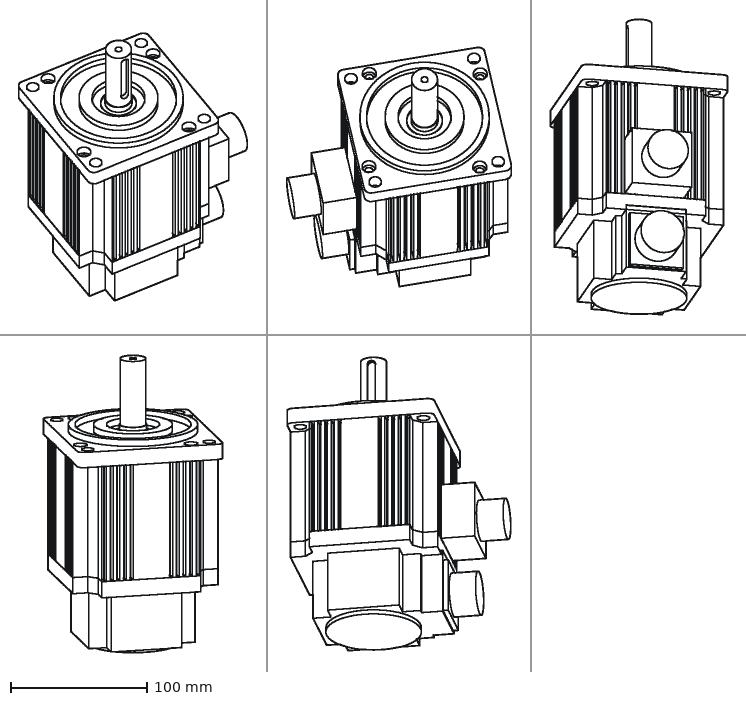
import cadquery as cq


cap_disc_top = 3.2
encoder_top = 48.4
bracket_top = 60.5
stator_top = 147.7
flange_top = 159.2
pilot_top = 164.1
shaft_top = 214.0

body_width = 110.0
half_width = body_width / 2
flange_corner_radius = 5.0
pilot_diameter = 95.0
recess_diameter = 85.2
boss_diameter = 58.0
boss_bore_diameter = 39.0
shaft_clearance_diameter = 26.1
recess_floor_thickness = 1.3
rotor_bore_diameter = pilot_diameter
mount_hole_diameter = 9.0
mount_hole_pitch = 92.0
screw_near_offset = 31.9
screw_far_offset = 48.0
screw_hole_diameter = 6.0
screw_head_diameter = 10.0
screw_head_depth = 6.0

shaft_diameter = 19.0
collar_diameter = 20.0
key_width = 6.2
key_length = 39.5
key_depth = 3.5
key_end_gap = 2.5
center_hole_diameter = 5.0
center_hole_depth = 12.0
drill_tip_height = 1.5

corner_notch = 17.5
notch_chamfer = 6.5
groove_width = 2.1
groove_depth = 7.0
first_groove_offset = 15.0
last_groove_offset = 35.0
grooves_per_half_side = 5
groove_pitch = (last_groove_offset - first_groove_offset) / (grooves_per_half_side - 1)

encoder_width = 80.5
encoder_notch = 13.5
cap_disc_diameter = 70.2
port_width = 45.0
port_face = 55.9
port_lip_top = 51.5

power_connector_x = 1.3
power_box_width = 44.7
power_box_height = 42.5
power_box_face = 80.0
power_plug_diameter = 30.4
power_plug_z = 81.5
power_plug_end = 100.0
encoder_connector_x = 0.6
encoder_plate_size = 40.0
encoder_plate_face = 59.7
encoder_plug_diameter = 32.5
encoder_plug_z = 24.5
encoder_plug_end = 79.5


def cylinder(diameter, bottom, top):
    """Round bar on the motor axis between two levels."""
    return cq.Workplane("XY").workplane(offset=bottom).circle(diameter / 2).extrude(top - bottom)


def y_cylinder(diameter, x, z, start, end):
    """Round bar along +Y between two Y positions."""
    plane = cq.Plane(origin=(x, start, z), xDir=(1, 0, 0), normal=(0, 1, 0))
    return cq.Workplane(plane).circle(diameter / 2).extrude(end - start)


def block(x_range, y_range, z_range):
    """Box given by its limits along each axis."""
    (x0, x1), (y0, y1), (z0, z1) = x_range, y_range, z_range
    return cq.Workplane("XY").box(x1 - x0, y1 - y0, z1 - z0, centered=False).translate((x0, y0, z0))


def make_shaft():
    """Keyed shaft with a wider collar at its lower end and a drilled centre hole."""
    shaft = cylinder(shaft_diameter, pilot_top, shaft_top)
    shaft = shaft.union(cylinder(collar_diameter, flange_top, pilot_top))

    key_middle = shaft_top - key_end_gap - key_length / 2
    key_cutter = (
        cq.Workplane("YZ")
        .workplane(offset=shaft_diameter / 2 - key_depth)
        .center(0, key_middle)
        .slot2D(key_length, key_width, 90)
        .extrude(2 * key_depth)
    )
    hole_bottom = shaft_top - center_hole_depth
    center_hole = (
        cq.Workplane("XZ")
        .moveTo(0, shaft_top)
        .lineTo(center_hole_diameter / 2, shaft_top)
        .lineTo(center_hole_diameter / 2, hole_bottom)
        .lineTo(0, hole_bottom - drill_tip_height)
        .close()
        .revolve(360, (0, 0), (0, 1))
    )
    return shaft.cut(key_cutter).cut(center_hole)


def make_flange():
    """Square flange, hollow underneath, with a raised pilot ring, an inner boss and two sets of holes."""
    flange = (
        cq.Workplane("XY")
        .workplane(offset=stator_top)
        .rect(body_width, body_width)
        .extrude(flange_top - stator_top)
        .edges("|Z")
        .fillet(flange_corner_radius)
    )
    pilot_ring = cylinder(pilot_diameter, flange_top, pilot_top).cut(
        cylinder(recess_diameter, flange_top, pilot_top)
    )
    boss = cylinder(boss_diameter, flange_top, pilot_top).cut(
        cylinder(boss_bore_diameter, flange_top, pilot_top)
    )
    flange = flange.union(pilot_ring).union(boss)
    flange = flange.cut(cylinder(shaft_clearance_diameter, stator_top, flange_top))
    flange = flange.cut(cylinder(rotor_bore_diameter, stator_top, flange_top - recess_floor_thickness))

    screw_points = [
        (-screw_near_offset, screw_far_offset),
        (screw_far_offset, screw_near_offset),
        (screw_near_offset, -screw_far_offset),
        (-screw_far_offset, -screw_near_offset),
    ]
    holes_plane = cq.Workplane("XY").workplane(offset=flange_top)
    thickness = flange_top - stator_top
    mount_holes = (
        holes_plane.rect(mount_hole_pitch, mount_hole_pitch, forConstruction=True)
        .vertices()
        .circle(mount_hole_diameter / 2)
        .extrude(-thickness)
    )
    screw_centers = holes_plane.pushPoints(screw_points)
    screw_holes = screw_centers.circle(screw_hole_diameter / 2).extrude(-thickness)
    head_recesses = screw_centers.circle(screw_head_diameter / 2).extrude(-screw_head_depth)
    return flange.cut(mount_holes).cut(screw_holes).cut(head_recesses)


def notched_prism(bottom, top):
    """Square prism with a notch at each corner; each notch has a chamfered inner corner."""
    inner = half_width - corner_notch
    shoulder = inner + notch_chamfer
    quarter = [(half_width, inner), (shoulder, inner), (inner, shoulder), (inner, half_width)]
    outline = []
    for _ in range(4):
        outline += quarter
        quarter = [(-y, x) for x, y in quarter]
    return cq.Workplane("XY").workplane(offset=bottom).polyline(outline).close().extrude(top - bottom)


def make_stator():
    """Hollow notched stator with cooling grooves running the full length of each side."""
    stator = notched_prism(bracket_top, stator_top)
    stator = stator.cut(cylinder(rotor_bore_diameter, bracket_top, stator_top))
    offsets = [first_groove_offset + i * groove_pitch for i in range(grooves_per_half_side)]
    groove_points = [(side * offset, half_width) for offset in offsets for side in (-1, 1)]
    grooves = (
        cq.Workplane("XY")
        .workplane(offset=bracket_top)
        .pushPoints(groove_points)
        .rect(groove_width, 2 * groove_depth)
        .extrude(stator_top - bracket_top)
    )
    for turn in range(4):
        stator = stator.cut(grooves.rotate((0, 0, 0), (0, 0, 1), 90 * turn))
    return stator


def make_encoder_housing():
    """Cross-shaped housing with a rear disc and a connector port reaching past the +Y side."""
    height = encoder_top - cap_disc_top
    arm_width = encoder_width - 2 * encoder_notch
    base = cq.Workplane("XY").workplane(offset=cap_disc_top)
    housing = base.rect(encoder_width, arm_width).extrude(height)
    housing = housing.union(base.rect(arm_width, encoder_width).extrude(height))

    port_x = (-port_width / 2, port_width / 2)
    housing = housing.union(block(port_x, (0, port_face), (cap_disc_top, encoder_top)))
    housing = housing.union(block(port_x, (half_width, port_face), (cap_disc_top, port_lip_top)))
    return housing.union(cylinder(cap_disc_diameter, 0, cap_disc_top))


def make_power_connector():
    """Box on the +Y side of the stator with a round plug."""
    box_x = (power_connector_x - power_box_width / 2, power_connector_x + power_box_width / 2)
    box_z = (bracket_top, bracket_top + power_box_height)
    box = block(box_x, (half_width, power_box_face), box_z)
    plug = y_cylinder(power_plug_diameter, power_connector_x, power_plug_z, power_box_face, power_plug_end)
    return box.union(plug)


def make_encoder_connector():
    """Square plate on the encoder port with a round plug."""
    half_plate = encoder_plate_size / 2
    plate = block(
        (encoder_connector_x - half_plate, encoder_connector_x + half_plate),
        (port_face, encoder_plate_face),
        (encoder_plug_z - half_plate, encoder_plug_z + half_plate),
    )
    plug = y_cylinder(
        encoder_plug_diameter, encoder_connector_x, encoder_plug_z, encoder_plate_face, encoder_plug_end
    )
    return plate.union(plug)


shaft = make_shaft()
flange = make_flange()
stator = make_stator()
rear_bracket = notched_prism(encoder_top, bracket_top)
encoder_housing = make_encoder_housing()
power_connector = make_power_connector()
encoder_connector = make_encoder_connector()

result = cq.Compound.makeCompound(
    [
        shaft.val(),
        flange.val(),
        stator.val(),
        rear_bracket.val(),
        encoder_housing.val(),
        power_connector.val(),
        encoder_connector.val(),
    ]
)